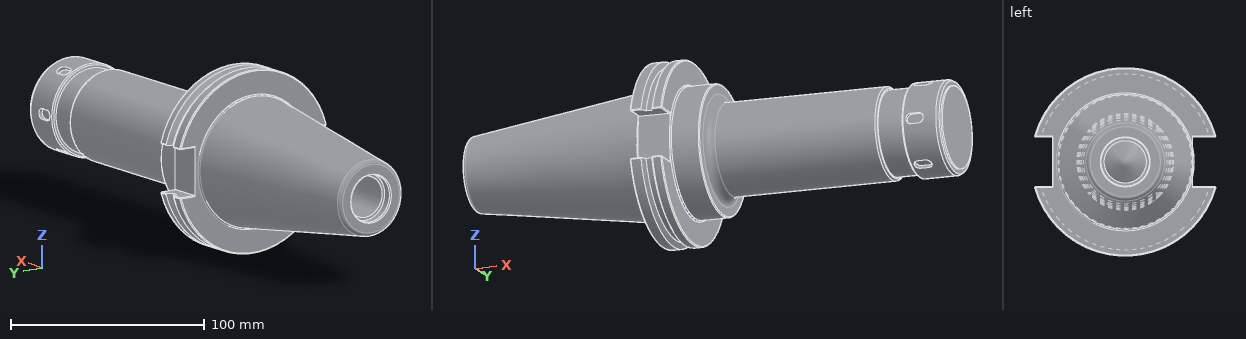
import cadquery as cq
import math

total_length = 266.8

flange_start = 103.2
root_fillet = 0.8
gauge_diameter = 70.0
taper_rate = 7 / 24
taper_length = flange_start - root_fillet
taper_small_diameter = gauge_diameter - taper_rate * taper_length
taper_end_round = 2.1

flange_end = 120.8
flange_diameter = 97.6
flange_chamfer = 0.5
groove_middle = 112.5
groove_floor_width = 3.2
groove_depth = 3.2
groove_mouth_width = 6.5
drive_slot_width = 25.5
front_slot_floor = gauge_diameter / 2
back_slot_floor = 37.5

collar_end = 137.0
collar_chamfer = 0.5
collar_diameter = gauge_diameter
shank_fillet = 4.8
shank_end = 231.5
shank_diameter = 49.4
shank_chamfer = 1.0
neck_diameter = 45.5

mouth_diameter = 26.0
counterbore_diameter = 25.0
mouth_depth = 1.0
counterbore_depth = 5.3
bore_diameter = 22.0
bore_depth = 48.0
floor_cone_angle = 118.0

nut_start = 245.5
nut_diameter = 50.2
nut_back_chamfer = 0.8
nut_front_chamfer_length = 1.5
nut_front_chamfer_depth = 0.8
nut_face = 266.0
nose_diameter = 43.5
wrench_slot_count = 6
wrench_slot_middle = 252.5
wrench_slot_length = 9.5
wrench_slot_width = 5.5
wrench_slot_depth = 2.1


def revolve_about_x(profile):
    """Turn a closed profile, drawn as (x, radius), about the X axis."""
    return profile.close().revolve(360, (0, 0, 0), (1, 0, 0))


def cylinder(start, end, diameter):
    return cq.Workplane("YZ", origin=(start, 0, 0)).circle(diameter / 2).extrude(end - start)


def make_taper():
    taper = revolve_about_x(
        cq.Workplane("XY")
        .lineTo(0, taper_small_diameter / 2)
        .lineTo(taper_length, gauge_diameter / 2)
        .radiusArc((flange_start, gauge_diameter / 2 + root_fillet), -root_fillet)
        .lineTo(flange_start, 0)
    )
    return taper.faces("<X").edges().fillet(taper_end_round)


def cut_groove(flange):
    floor_radius = flange_diameter / 2 - groove_depth
    half_floor = groove_floor_width / 2
    half_mouth = groove_mouth_width / 2
    groove = revolve_about_x(
        cq.Workplane("XY")
        .moveTo(groove_middle - half_floor, floor_radius)
        .lineTo(groove_middle + half_floor, floor_radius)
        .lineTo(groove_middle + half_mouth, flange_diameter / 2)
        .lineTo(groove_middle - half_mouth, flange_diameter / 2)
    )
    return flange.cut(groove)


def cut_drive_slots(flange):
    for side, floor in ((-1, front_slot_floor), (1, back_slot_floor)):
        slot = cq.Workplane("XY").box(
            flange_end - flange_start, flange_diameter, drive_slot_width, centered=(False, True, True)
        )
        flange = flange.cut(slot.translate((flange_start, side * (floor + flange_diameter / 2), 0)))
    return flange


def is_outside_edge(edge):
    """True for the rim and the slot walls' free edges, false for the edges of the slot floors."""
    box = edge.BoundingBox()
    return max(abs(box.ymin), abs(box.ymax)) > back_slot_floor + flange_chamfer


def make_flange():
    flange = cut_drive_slots(cylinder(flange_start, flange_end, flange_diameter))
    flange = flange.edges().filter(is_outside_edge).chamfer(flange_chamfer)
    return cut_groove(flange)


def make_shank():
    """Collar, shank and neck, with the concave fillet between collar and shank."""
    shank_radius = shank_diameter / 2
    return revolve_about_x(
        cq.Workplane("XY")
        .moveTo(flange_end, 0)
        .lineTo(flange_end, collar_diameter / 2 + root_fillet)
        .radiusArc((flange_end + root_fillet, collar_diameter / 2), -root_fillet)
        .lineTo(collar_end - collar_chamfer, collar_diameter / 2)
        .lineTo(collar_end, collar_diameter / 2 - collar_chamfer)
        .lineTo(collar_end, shank_radius + shank_fillet)
        .radiusArc((collar_end + shank_fillet, shank_radius), -shank_fillet)
        .lineTo(shank_end - shank_chamfer, shank_radius)
        .lineTo(shank_end, shank_radius - shank_chamfer)
        .lineTo(shank_end, neck_diameter / 2)
        .lineTo(nut_start, neck_diameter / 2)
        .lineTo(nut_start, 0)
    )


def make_drawbar_hole():
    """Counterbore with a flared mouth and a blind bore with a raised conical floor, as the solid to remove."""
    cone_height = bore_diameter / 2 / math.tan(math.radians(floor_cone_angle / 2))
    return revolve_about_x(
        cq.Workplane("XY")
        .lineTo(0, mouth_diameter / 2)
        .lineTo(mouth_depth, counterbore_diameter / 2)
        .lineTo(counterbore_depth, counterbore_diameter / 2)
        .lineTo(counterbore_depth, bore_diameter / 2)
        .lineTo(bore_depth, bore_diameter / 2)
        .lineTo(bore_depth - cone_height, 0)
    )


def make_holder():
    return make_taper().union(make_flange()).union(make_shank()).cut(make_drawbar_hole())


def make_front_chamfer():
    """Ring to remove from the nut's front rim."""
    rim_radius = nut_diameter / 2
    return revolve_about_x(
        cq.Workplane("XY")
        .moveTo(nut_face - nut_front_chamfer_length, rim_radius)
        .lineTo(nut_face, rim_radius)
        .lineTo(nut_face, rim_radius - nut_front_chamfer_depth)
    )


def make_nut():
    nut = cylinder(nut_start, nut_face, nut_diameter)
    nut = nut.faces("<X").edges().chamfer(nut_back_chamfer)
    nut = nut.cut(make_front_chamfer())
    nut = nut.union(cylinder(nut_face, total_length, nose_diameter))
    slot_floor = nut_diameter / 2 - wrench_slot_depth
    slot = (
        cq.Workplane("XZ", origin=(wrench_slot_middle, -slot_floor, 0))
        .slot2D(wrench_slot_length, wrench_slot_width)
        .extrude(2 * wrench_slot_depth)
    )
    for index in range(wrench_slot_count):
        nut = nut.cut(slot.rotate((0, 0, 0), (1, 0, 0), index * 360 / wrench_slot_count))
    return nut


holder = make_holder()
nut = make_nut()
result = cq.Compound.makeCompound([holder.val(), nut.val()])